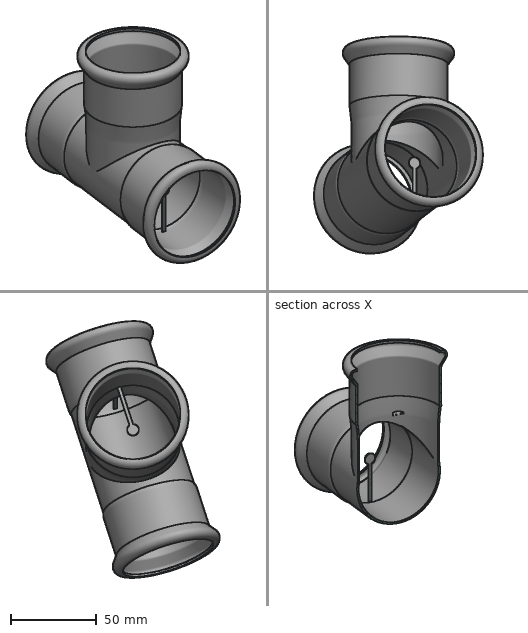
import cadquery as cq
import math

run_length = 138.0
overall_height = 109.5
collar_diameter = 65.4
half_run = run_length / 2
collar_radius = collar_diameter / 2
branch_height = overall_height - collar_radius

socket_outer = 57.5 / 2
socket_bore = 54.4 / 2
run_outer = 56.0 / 2
run_bore = 53.0 / 2
branch_outer = 55.0 / 2
branch_bore = 52.0 / 2

wall = 1.5
bead_radius = 3.6
bead_center = collar_radius - bead_radius
bead_inner_radius = bead_radius - wall
lip_radius = 27.7
collar_depth = 10.2
blend_length = 0.5

run_socket_depth = 34.9
run_shoulder_depth = 37.5
branch_socket_depth = 35.2
branch_step_depth = 35.6
branch_step_drop = 0.1
branch_taper_depth = 45.5
branch_shoulder_depth = 46.8
branch_taper_allowance = 0.07

marker_diameter = 6.9
marker_arm_width = 2.2
marker_thickness = 0.7

cone_run = collar_depth - bead_radius
cone_drop = bead_center - socket_outer
cone_angle = math.acos(bead_radius / math.hypot(cone_run, cone_drop)) - math.atan2(cone_drop, cone_run)
inner_cone_depth = (
    bead_radius
    + (bead_inner_radius + (bead_center - socket_bore) * math.sin(cone_angle)) / math.cos(cone_angle)
)


def bead_point(radius, angle):
    """Point (radius, depth) on a circle around the bead center."""
    return bead_center + radius * math.sin(angle), bead_radius + radius * math.cos(angle)


def bead_arc_middle(radius):
    """Point halfway along the arc from the mouth side to the cone."""
    return bead_point(radius, (math.pi + cone_angle) / 2)


def outer_collar():
    """Outer outline from the axis over the bead to the socket tube."""
    return (
        cq.Workplane("XY")
        .moveTo(0, 0)
        .lineTo(bead_center, 0)
        .threePointArc(bead_arc_middle(bead_radius), bead_point(bead_radius, cone_angle))
        .lineTo(socket_outer, collar_depth)
    )


def inner_collar():
    """Bore outline from the axis through the lip and hollow bead, blended into the socket bore."""
    return (
        cq.Workplane("XY")
        .moveTo(0, 0)
        .lineTo(lip_radius, 0)
        .lineTo(lip_radius, wall)
        .lineTo(bead_center, wall)
        .threePointArc(bead_arc_middle(bead_inner_radius), bead_point(bead_inner_radius, cone_angle))
        .lineTo(
            socket_bore + blend_length * math.cos(cone_angle),
            inner_cone_depth - blend_length * math.sin(cone_angle),
        )
        .tangentArcPoint((socket_bore, inner_cone_depth + blend_length), relative=False)
    )


def run_solid(collar, socket_radius, tube_radius):
    """Revolved half of the run, from the mouth to the center plane."""
    return (
        collar.lineTo(socket_radius, run_socket_depth)
        .tangentArcPoint((tube_radius, run_shoulder_depth), relative=False)
        .lineTo(tube_radius, half_run)
        .lineTo(0, half_run)
        .close()
        .revolve(360, (0, 0), (0, 1))
    )


def branch_solid(collar, socket_radius, tube_radius):
    """Revolved branch, from the mouth to the run axis."""
    return (
        collar.lineTo(socket_radius, branch_socket_depth)
        .lineTo(socket_radius - branch_step_drop, branch_step_depth)
        .lineTo(tube_radius + branch_taper_allowance, branch_taper_depth)
        .lineTo(tube_radius, branch_shoulder_depth)
        .lineTo(tube_radius, branch_height)
        .lineTo(0, branch_height)
        .close()
        .revolve(360, (0, 0), (0, 1))
    )


def on_run_left(body):
    """Turn a body built inward along +Y so that it starts at the -X mouth."""
    return body.rotate((0, 0, 0), (0, 0, 1), -90).translate((-half_run, 0, 0))


def on_branch(body):
    """Turn a body built inward along +Y so that it starts at the branch mouth."""
    return body.rotate((0, 0, 0), (1, 0, 0), -90).translate((0, 0, branch_height))


def whole_run(collar, socket_radius, tube_radius):
    """Both mirrored halves of the run, joined at the center plane."""
    left_half = on_run_left(run_solid(collar, socket_radius, tube_radius))
    return left_half.union(left_half.mirror("YZ"))


def make_tee():
    """Tee housing: the joined outer shapes minus the joined bores."""
    outer = whole_run(outer_collar(), socket_outer, run_outer).union(
        on_branch(branch_solid(outer_collar(), socket_outer, branch_outer))
    )
    bore = whole_run(inner_collar(), socket_bore, run_bore).union(
        on_branch(branch_solid(inner_collar(), socket_bore, branch_bore))
    )
    return outer.cut(bore)


def make_marker():
    """Insertion marker around the Z axis, its arm along +X and ending on the socket bore."""
    disc = cq.Workplane("XY").circle(marker_diameter / 2).extrude(marker_thickness)
    bore_disc = cq.Workplane("XY").circle(socket_bore).extrude(marker_thickness)
    arm = (
        cq.Workplane("XY")
        .rect(2 * socket_bore, marker_arm_width)
        .extrude(marker_thickness)
        .translate((socket_bore, 0, 0))
        .intersect(bore_disc)
    )
    return disc.union(arm)


def make_run_marker(side):
    """Marker at the inner end of a run socket, its arm pointing down; side is -1 or 1."""
    turned = make_marker().rotate((0, 0, 0), (0, 1, 0), 90)
    left = turned.translate((run_socket_depth - marker_thickness - half_run, 0, 0))
    return left if side < 0 else left.mirror("YZ")


def make_branch_marker():
    """Marker at the inner end of the branch socket, its arm along +X."""
    return make_marker().translate((0, 0, branch_height - branch_socket_depth))


tee = make_tee()
markers = [make_run_marker(side) for side in (-1, 1)] + [make_branch_marker()]

result = cq.Compound.makeCompound([tee.val(), *[marker.val() for marker in markers]])